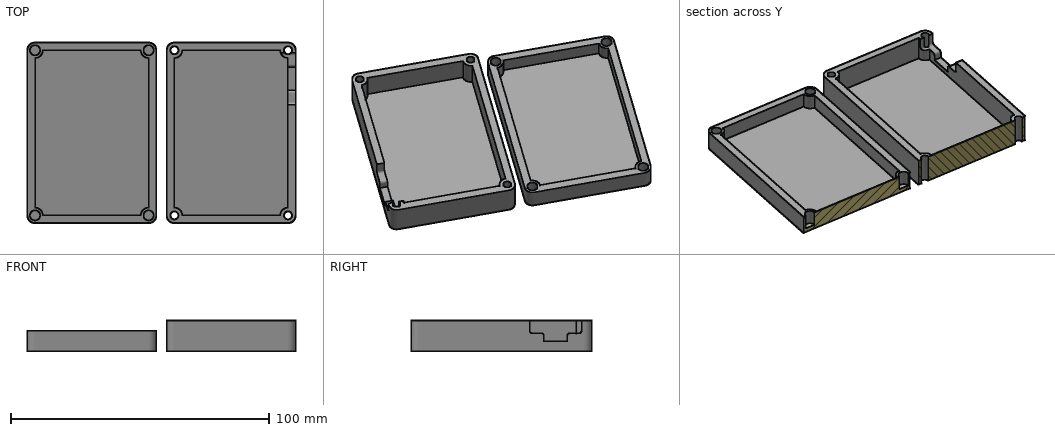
import cadquery as cq

overall_length = 104.0
tray_width = 50.0
tray_depth = 70.0
base_height = 12.0
lid_height = 8.0
wall = 3.0
floor = 2.0
corner_radius = wall
boss_radius = 3.0

base_hole_diameter = 3.0
lid_hole_diameter = 4.0
lid_hole_depth = lid_height - floor

notch_inset = 14.0
notch_upper_width = 20.1
notch_lower_width = 9.0
notch_step_height = 7.0
notch_bottom_height = 4.0
notch_fillet = 1.0

tray_offset = (overall_length - tray_width) / 2
hole_spacing_x = tray_width - 2 * wall
hole_spacing_y = tray_depth - 2 * wall


def corner_points():
    """Workplane at Z = 0 with a point on each screw hole centre."""
    return cq.Workplane("XY").rect(hole_spacing_x, hole_spacing_y, forConstruction=True).vertices()


def make_tray(height):
    """Open tray with a round screw boss in each corner of its cavity."""
    outer = (
        cq.Workplane("XY")
        .rect(tray_width, tray_depth)
        .extrude(height)
        .edges("|Z")
        .fillet(corner_radius)
    )
    cavity = (
        cq.Workplane("XY", origin=(0, 0, floor))
        .rect(tray_width - 2 * wall, tray_depth - 2 * wall)
        .extrude(height - floor)
    )
    bosses = corner_points().circle(boss_radius).extrude(height)
    return outer.cut(cavity.cut(bosses))


def make_notch():
    """Cutter for the stepped notch: rounded ledge corners, square sill corners."""
    half_upper = notch_upper_width / 2
    half_lower = notch_lower_width / 2
    reach = wall + boss_radius
    centre = (tray_width / 2 - reach, tray_depth / 2 - notch_inset, 0)
    profile = (
        cq.Workplane("YZ", origin=centre)
        .moveTo(-half_upper, base_height)
        .lineTo(-half_upper, notch_step_height + notch_fillet)
        .radiusArc((-half_upper + notch_fillet, notch_step_height), -notch_fillet)
        .lineTo(-half_lower - notch_fillet, notch_step_height)
        .radiusArc((-half_lower, notch_step_height - notch_fillet), notch_fillet)
        .lineTo(-half_lower, notch_bottom_height)
        .lineTo(half_lower, notch_bottom_height)
        .lineTo(half_lower, notch_step_height - notch_fillet)
        .radiusArc((half_lower + notch_fillet, notch_step_height), notch_fillet)
        .lineTo(half_upper - notch_fillet, notch_step_height)
        .radiusArc((half_upper, notch_step_height + notch_fillet), -notch_fillet)
        .lineTo(half_upper, base_height)
        .close()
    )
    return profile.extrude(reach)


def make_lid():
    """Shallow tray with a blind hole in the top of each boss."""
    holes = (
        corner_points()
        .circle(lid_hole_diameter / 2)
        .extrude(lid_hole_depth)
        .translate((0, 0, lid_height - lid_hole_depth))
    )
    return make_tray(lid_height).cut(holes).translate((-tray_offset, 0, 0))


def make_base():
    """Deep tray with through holes and a connector notch."""
    holes = corner_points().circle(base_hole_diameter / 2).extrude(base_height)
    return make_tray(base_height).cut(holes).cut(make_notch()).translate((tray_offset, 0, 0))


lid = make_lid()
base = make_base()

result = cq.Compound.makeCompound([lid.val(), base.val()])